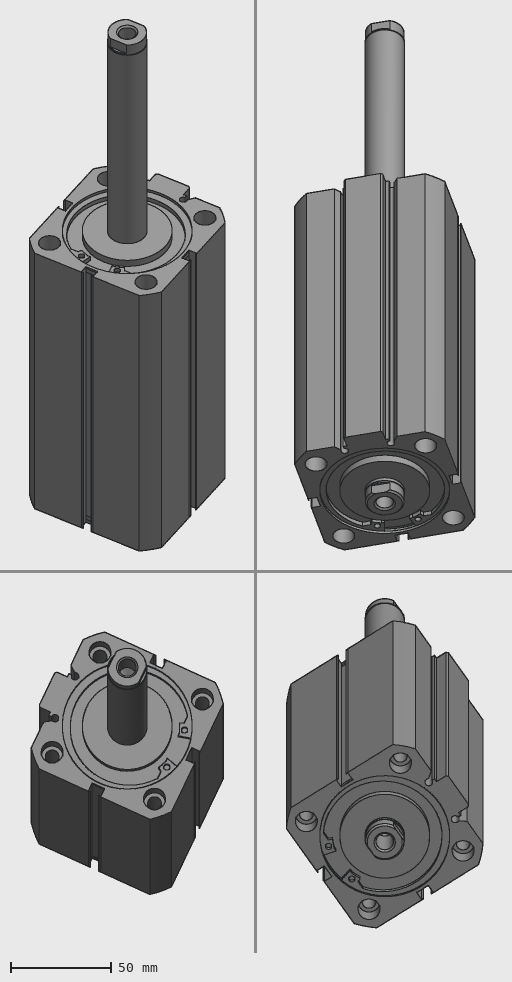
import cadquery as cq
import math

total_length = 312.0

housing_height = 171.0
housing_width = 77.5
half_width = housing_width / 2
corner_radius = 49.3
port_rib_width = 20.0
port_rib_top = 44.3
port_rib_edge = 1.0

mount_spacing = 56.5
mount_hole_diameter = 7.0
mount_counterbore_diameter = 11.0
mount_counterbore_depth = 10.3

slot_depth = 4.7
slot_mouth_width = 4.7
slot_inner_width = 7.0
slot_lip = 0.3

sensor_groove_x = 12.0
sensor_groove_y = 34.3
sensor_groove_radius = 2.0
sensor_lip_top = 37.8
sensor_flare_x = 16.2
sensor_flare_y = 35.5

bore_radius = 32.5
ring_recess = 1.5
ring_thickness = 2.5
ring_radius = 33.7

ring_opening_radius = 29.5
ring_opening_offset = 1.2
ring_web_y = 25.0
lug_inner_radius = 26.2
lug_start_angle = 14.3
lug_end_angle = 28.5
lug_hole_radius = 1.5
lug_hole_position = 28.7

cover_thickness = 14.0
cover_boss_radius = 22.5
cover_seat = ring_recess + ring_thickness

rod_radius = 10.0
rod_bottom = -8.5
rod_top = rod_bottom + total_length
neck_radius = 9.7
top_neck_length = 6.5
bottom_neck_length = 6.5
bottom_chamfer = 1.0
flat_distance = 17.0
flat_length = 5.5
rod_hole_radius = 4.5
rod_hole_depth = 20.0
rod_hole_chamfer = 1.0
drill_tip_angle = 118.0


def cylinder(radius, bottom, top):
    return cq.Workplane("XY").workplane(offset=bottom).circle(radius).extrude(top - bottom)


def polar(radius, angle):
    """Point at a radius and at an angle measured from -Y towards +X."""
    turn = math.radians(angle)
    return (radius * math.sin(turn), -radius * math.cos(turn))


def mirrored_end(body):
    """Copy of a body for the opposite end of the housing."""
    return body.mirror("XY", (0, 0, housing_height / 2))


def t_slot():
    """Cutter for the slot in the -Y side."""
    mouth = cq.Workplane("XY").rect(slot_mouth_width, 2 * slot_depth).extrude(housing_height)
    inner_depth = slot_depth - slot_lip
    inner = (
        cq.Workplane("XY")
        .center(0, slot_lip + inner_depth / 2)
        .rect(slot_inner_width, inner_depth)
        .extrude(housing_height)
    )
    return mouth.union(inner).translate((0, -half_width, 0))


def sensor_groove():
    """Cutter for the groove on the +X side of the port rib."""
    rib_side = port_rib_width / 2
    outer_side = sensor_groove_x + sensor_groove_radius
    mouth = (
        cq.Workplane("XY")
        .moveTo(sensor_groove_x, sensor_groove_y)
        .lineTo(outer_side, sensor_groove_y)
        .lineTo(outer_side, sensor_flare_y)
        .lineTo(sensor_flare_x, half_width)
        .lineTo(rib_side, half_width)
        .lineTo(rib_side, sensor_lip_top)
        .lineTo(sensor_groove_x, sensor_lip_top)
        .close()
        .extrude(housing_height)
    )
    channel = cylinder(sensor_groove_radius, 0, housing_height)
    return mouth.union(channel.translate((sensor_groove_x, sensor_groove_y, 0)))


def make_housing():
    body = cq.Workplane("XY").rect(housing_width, housing_width).extrude(housing_height)
    body = body.intersect(cylinder(corner_radius, 0, housing_height))

    port_rib = (
        cq.Workplane("XY")
        .center(0, port_rib_top / 2)
        .rect(port_rib_width, port_rib_top)
        .extrude(housing_height)
        .edges("|Z and >Y")
        .chamfer(port_rib_edge)
    )
    body = body.union(port_rib)

    for angle in (-90, 0, 90):
        body = body.cut(t_slot().rotate((0, 0, 0), (0, 0, 1), angle))
    groove = sensor_groove()
    body = body.cut(groove).cut(groove.mirror("YZ"))

    for x in (-mount_spacing / 2, mount_spacing / 2):
        for y in (-mount_spacing / 2, mount_spacing / 2):
            hole = cylinder(mount_hole_diameter / 2, 0, housing_height)
            counterbore = cylinder(mount_counterbore_diameter / 2, 0, mount_counterbore_depth)
            hole = hole.union(counterbore).union(mirrored_end(counterbore))
            body = body.cut(hole.translate((x, y, 0)))

    ring_groove = cylinder(ring_radius, ring_recess, cover_seat)
    body = body.cut(cylinder(bore_radius, 0, housing_height))
    return body.cut(ring_groove).cut(mirrored_end(ring_groove))


def make_cover():
    """Bottom end cover with its boss flush with the housing end."""
    flange = cylinder(bore_radius, cover_seat, cover_seat + cover_thickness)
    boss = cylinder(cover_boss_radius, 0, cover_seat)
    return flange.union(boss).cut(cylinder(rod_radius, 0, cover_seat + cover_thickness))


def sector(start_angle, end_angle):
    """Wedge from the axis to beyond the ring, as thick as the ring."""
    reach = 2 * ring_radius
    corners = [(0, 0), polar(reach, start_angle), polar(reach, end_angle)]
    return cq.Workplane("XY").workplane(offset=ring_recess).polyline(corners).close().extrude(ring_thickness)


def make_retaining_ring():
    """Bottom retaining ring with its gap and two plier lugs on the -Y side."""
    disc = cylinder(ring_radius, ring_recess, cover_seat)
    opening = cylinder(ring_opening_radius, ring_recess, cover_seat).translate((0, -ring_opening_offset, 0))
    web = disc.intersect(
        cq.Workplane("XY")
        .center(0, -ring_web_y - ring_radius / 2)
        .rect(2 * ring_radius, ring_radius)
        .extrude(cover_seat)
    )
    lugs = disc.cut(cylinder(lug_inner_radius, ring_recess, cover_seat))
    lugs = lugs.intersect(sector(-lug_end_angle, lug_end_angle))
    ring = disc.cut(opening).union(web).union(lugs)
    ring = ring.cut(sector(-lug_start_angle, lug_start_angle))

    lug_angle = (lug_start_angle + lug_end_angle) / 2
    for angle in (-lug_angle, lug_angle):
        x, y = polar(lug_hole_position, angle)
        ring = ring.cut(cylinder(lug_hole_radius, ring_recess, cover_seat).translate((x, y, 0)))
    return ring


def wrench_flats(bottom):
    """Cutters for the flats on the -Y and +Y sides of a rod neck."""
    flat_y = flat_distance / 2
    flat = (
        cq.Workplane("XY")
        .workplane(offset=bottom)
        .center(0, flat_y + rod_radius / 2)
        .rect(2 * rod_radius, rod_radius)
        .extrude(flat_length)
    )
    return flat.union(flat.mirror("XZ"))


def rod_end_hole():
    """Cutter for a chamfered blind hole with a drill tip, going up from z = 0."""
    mouth_radius = rod_hole_radius + rod_hole_chamfer
    tip_height = rod_hole_radius / math.tan(math.radians(drill_tip_angle / 2))
    profile = [
        (0, 0),
        (mouth_radius, 0),
        (rod_hole_radius, rod_hole_chamfer),
        (rod_hole_radius, rod_hole_depth),
        (0, rod_hole_depth + tip_height),
    ]
    return cq.Workplane("XZ").polyline(profile).close().revolve(360, (0, 0), (0, 1))


def make_rod():
    shank = cylinder(rod_radius, rod_bottom + bottom_neck_length, rod_top - top_neck_length)
    necks = cylinder(neck_radius, rod_bottom, rod_top).faces("<Z").chamfer(bottom_chamfer)
    rod = shank.union(necks)
    rod = rod.cut(wrench_flats(rod_bottom))
    rod = rod.cut(wrench_flats(rod_top - flat_length))
    hole = rod_end_hole()
    rod = rod.cut(hole.translate((0, 0, rod_bottom)))
    return rod.cut(hole.mirror("XY").translate((0, 0, rod_top)))


housing = make_housing()
rod = make_rod()
bottom_cover = make_cover()
top_cover = mirrored_end(bottom_cover)
bottom_ring = make_retaining_ring()
top_ring = mirrored_end(bottom_ring)

result = cq.Compound.makeCompound([
    housing.val(),
    rod.val(),
    bottom_cover.val(),
    top_cover.val(),
    bottom_ring.val(),
    top_ring.val(),
])